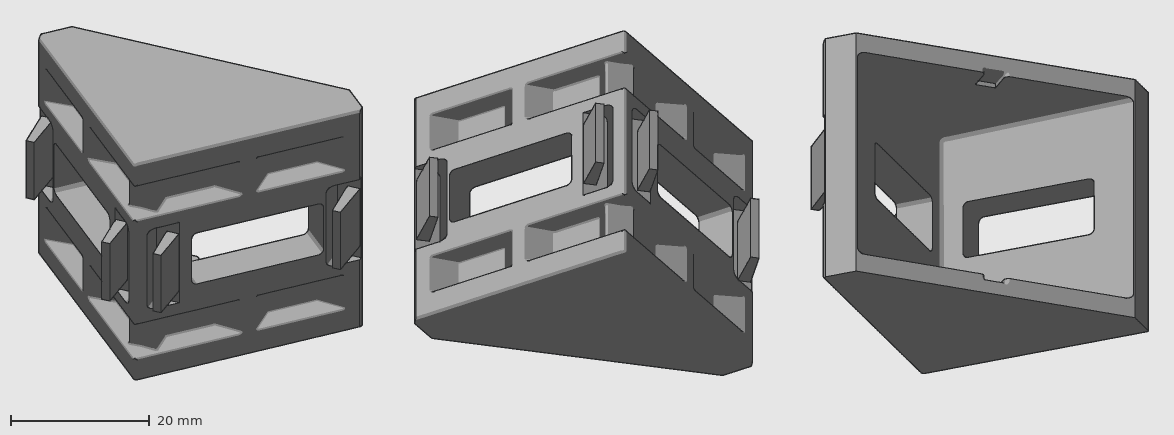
import cadquery as cq
import math

LEG = 36.0
HEIGHT = 38.0
MID_Z = HEIGHT / 2
END_WIDTH = 5.5
TIP_CHAMFER = 0.7
EDGE_FILLET = 0.6

PLATE = 5.65
CHEEK = 2.9
CAVITY_DRAFT = 2.0
CAVITY_FILLET = 0.95

SLOT_NEAR = 9.0
SLOT_FAR = 29.65
SLOT_HEIGHT = 8.9
SLOT_RADIUS = 0.9

POCKET_DEPTH = 3.2
POCKET_HEIGHT = 5.9
POCKET_NARROWING = 0.25
POCKET_OFFSET_Z = 12.05
END_POCKET = (2.9, 17.0)
CORNER_POCKET_START = 18.95
CORNER_FLOOR_END = 29.8
POST_SETBACK = 4.3
END_POCKET_FILLET = 0.25
CORNER_POCKET_FILLET = 0.4
RIM_FILLET = 0.35

END_TAB = (-0.1, 5.95, 5.4, -3.95)
CORNER_TAB = (28.92, 34.0, 33.5, -4.02)
TAB_HEIGHT = 10.0
TAB_TIP_WIDTH = 1.25
TAB_DRAFT = 3.0
TAB_EMBED = 0.5
RECESS_HEIGHT = 14.0
RECESS_FILLET = 1.0

NOTCH_LENGTH = 4.7
NOTCH_HEIGHT = 1.35
NOTCH_DEPTH = 4.0
NOTCH_FILLET = 0.2
NOTCH_LIP = 0.8

TOL = 0.01
DIAGONAL = math.sqrt(0.5)
MOUTH_MID = ((LEG - END_WIDTH) / 2, (LEG + END_WIDTH) / 2)


def prism(points, height):
    """Extrude an XY outline symmetrically about the middle plane."""
    outline = cq.Workplane("XY").workplane(offset=MID_Z).polyline(points).close()
    return outline.extrude(height / 2, both=True)


def mirrored(shape):
    """Reflect a shape across the diagonal plane, from the Y = 0 face to the X = LEG face."""
    return shape.rotate((0, 0, 0), (0, 0, 1), -90).mirror("YZ").translate((LEG, LEG, 0))


def on_both_faces(shape):
    return shape.union(mirrored(shape))


def pull_plane(origin_xy):
    """Plane facing the corner: local x along (1, 1), local y along Z, normal (1, -1)."""
    return cq.Plane(origin=(*origin_xy, MID_Z), xDir=(1, 1, 0), normal=(1, -1, 0))


def face_edges(block):
    """Edges bounding the mounting faces at top and bottom, and the corner edge between them."""
    corner = cq.selectors.BoxSelector((LEG - TOL, -TOL, -TOL), (LEG + TOL, TOL, HEIGHT + TOL))
    long_edges = block.faces("<Y or >X").edges("<Z or >Z")
    return long_edges.add(block.edges("|Z").edges(corner))


def make_block():
    return prism(
        [
            (TIP_CHAMFER, 0),
            (LEG, 0),
            (LEG, LEG - TIP_CHAMFER),
            (LEG - TIP_CHAMFER, LEG),
            (LEG - END_WIDTH, LEG),
            (0, END_WIDTH),
            (0, TIP_CHAMFER),
        ],
        HEIGHT,
    )


def round_mounting_faces(block):
    return face_edges(block).fillet(EDGE_FILLET)


def make_cavity():
    corner = (LEG - PLATE, PLATE)
    mouth_low = (PLATE - END_WIDTH, PLATE)
    mouth_high = (LEG - PLATE, LEG - PLATE + END_WIDTH)
    triangle = prism([mouth_low, corner, mouth_high], HEIGHT)
    mouth_length = math.dist(mouth_low, mouth_high)
    drafted = (
        cq.Workplane(pull_plane(MOUTH_MID))
        .rect(2 * mouth_length, HEIGHT - 2 * CHEEK)
        .extrude(mouth_length, taper=CAVITY_DRAFT)
    )
    cavity = triangle.intersect(drafted)
    mouth_ends_excluded = cq.selectors.BoxSelector(
        (PLATE, 0, 0),
        (LEG, LEG - PLATE, HEIGHT),
    )
    floor_edges = cavity.faces("<Y or >X").edges(mouth_ends_excluded)
    return floor_edges.fillet(CAVITY_FILLET)


def make_slot():
    length = SLOT_FAR - SLOT_NEAR
    return (
        cq.Workplane("XZ", origin=(LEG - (SLOT_NEAR + SLOT_FAR) / 2, -TOL, MID_Z))
        .rect(length, SLOT_HEIGHT)
        .extrude(-LEG / 2)
        .edges("|Y")
        .fillet(SLOT_RADIUS)
    )


def pocket_envelope():
    """Trough along X whose sides narrow with depth; it bounds the pockets in Z."""
    half = POCKET_HEIGHT / 2
    floor_half = half - POCKET_NARROWING
    return (
        cq.Workplane("YZ", origin=(0, 0, MID_Z))
        .polyline([(0, -half), (POCKET_DEPTH, -floor_half), (POCKET_DEPTH, floor_half), (0, half)])
        .close()
        .extrude(LEG)
    )


def end_pocket(envelope):
    start, end = END_POCKET
    outline = [
        (start, 0),
        (start + POCKET_DEPTH, POCKET_DEPTH),
        (end - POCKET_DEPTH, POCKET_DEPTH),
        (end, 0),
    ]
    pocket = prism(outline, HEIGHT).intersect(envelope)
    inner_edges = cq.selectors.BoxSelector((0, TOL, 0), (LEG, LEG, HEIGHT))
    return pocket.edges(inner_edges).fillet(END_POCKET_FILLET)


def corner_pocket(envelope):
    """Pocket wrapping around the corner and leaving a square-ended diagonal post."""
    post_sum = CORNER_FLOOR_END + POCKET_DEPTH
    post_x = (post_sum + LEG - POST_SETBACK) / 2
    post_y = post_sum - post_x
    front_half = [
        (CORNER_POCKET_START, 0),
        (CORNER_POCKET_START + POCKET_DEPTH, POCKET_DEPTH),
        (CORNER_FLOOR_END, POCKET_DEPTH),
        (post_x, post_y),
    ]
    side_half = [(LEG - y, LEG - x) for x, y in reversed(front_half)]
    pocket = prism(front_half + side_half + [(LEG, 0)], HEIGHT).intersect(envelope)
    inner_edges = cq.selectors.BoxSelector((0, TOL, 0), (LEG - TOL, LEG, HEIGHT))
    crease_span = POST_SETBACK / 2
    diagonal_creases = cq.selectors.BoxSelector((LEG - crease_span, 0, 0), (LEG, crease_span, HEIGHT))
    return pocket.edges(inner_edges - diagonal_creases).fillet(CORNER_POCKET_FILLET)


def make_pockets():
    """All pockets of one row, centred on the middle plane."""
    envelope = pocket_envelope()
    return on_both_faces(end_pocket(envelope)).union(corner_pocket(on_both_faces(envelope)))


def recess_and_tab(floor_x, wall_x, tip_x, tip_y):
    """V-shaped recess in the Y = 0 face and the drafted tab rising from its 45-degree floor."""
    apex = ((floor_x + wall_x) / 2, (wall_x - floor_x) / 2)
    outside_left = (2 * floor_x - apex[0], -apex[1])
    outside_right = (2 * wall_x - apex[0], -apex[1])
    recess = prism([outside_left, apex, outside_right], RECESS_HEIGHT)
    wall_edges = recess.faces(">(1, 1, 0)").edges(">Z or <Z")
    recess = wall_edges.fillet(RECESS_FILLET)

    half_tip = TAB_TIP_WIDTH / 2 * DIAGONAL
    length = (tip_x - tip_y - floor_x) * DIAGONAL + TAB_EMBED
    root_width = TAB_TIP_WIDTH + 2 * length * math.tan(math.radians(TAB_DRAFT))
    run = length * DIAGONAL
    root = (tip_x + half_tip - run, tip_y + half_tip + run)
    tab_outline = [
        (-root_width / 2, 0),
        (root_width / 2, 0),
        (TAB_TIP_WIDTH / 2, length),
        (-TAB_TIP_WIDTH / 2, length),
    ]
    tab_plane = cq.Plane(origin=(*root, MID_Z), xDir=(1, 1, 0), normal=(0, 0, -1))
    tab = cq.Workplane(tab_plane).polyline(tab_outline).close().extrude(TAB_HEIGHT / 2, both=True)
    return recess, tab


def make_notches():
    """Finger notches into both end walls at the middle of the cavity mouth, without their lips."""
    span = HEIGHT - 2 * CHEEK + 2 * (NOTCH_HEIGHT - NOTCH_LIP)
    return (
        cq.Workplane(pull_plane(MOUTH_MID))
        .rect(NOTCH_LENGTH - 2 * NOTCH_LIP, span)
        .extrude(NOTCH_DEPTH)
        .edges("|(1, -1, 0)")
        .fillet(NOTCH_FILLET)
    )


def round_notch_lips(body):
    reach = NOTCH_LENGTH / 2
    mid_x, mid_y = MOUTH_MID
    near_notch = cq.selectors.BoxSelector(
        (mid_x - reach, mid_y - reach, TOL),
        (mid_x + reach, mid_y + reach, HEIGHT - TOL),
    )
    lip_edges = body.faces("<(1, -1, 0)").edges(near_notch)
    return lip_edges.fillet(NOTCH_LIP)


def round_pocket_rims(body, pocket_z):
    """Round the pocket edges on both mounting faces."""
    half = POCKET_HEIGHT / 2 + TOL
    low, high = pocket_z - half, pocket_z + half
    front = cq.selectors.BoxSelector((0, -TOL, low), (LEG, TOL, high))
    side = cq.selectors.BoxSelector((LEG - TOL, 0, low), (LEG + TOL, LEG, high))
    return body.edges(front + side).fillet(RIM_FILLET)


def build():
    block = make_block()
    body = block
    for pocket_z in (MID_Z - POCKET_OFFSET_Z, MID_Z + POCKET_OFFSET_Z):
        body = body.cut(make_pockets().translate((0, 0, pocket_z - MID_Z)))
        body = round_pocket_rims(body, pocket_z)
    body = body.intersect(round_mounting_faces(block))

    body = body.cut(make_cavity())
    body = round_notch_lips(body.cut(make_notches()))
    body = body.cut(on_both_faces(make_slot()))

    for tab_sizes in (END_TAB, CORNER_TAB):
        recess, tab = recess_and_tab(*tab_sizes)
        body = body.cut(on_both_faces(recess)).union(on_both_faces(tab))
    return body


result = build()